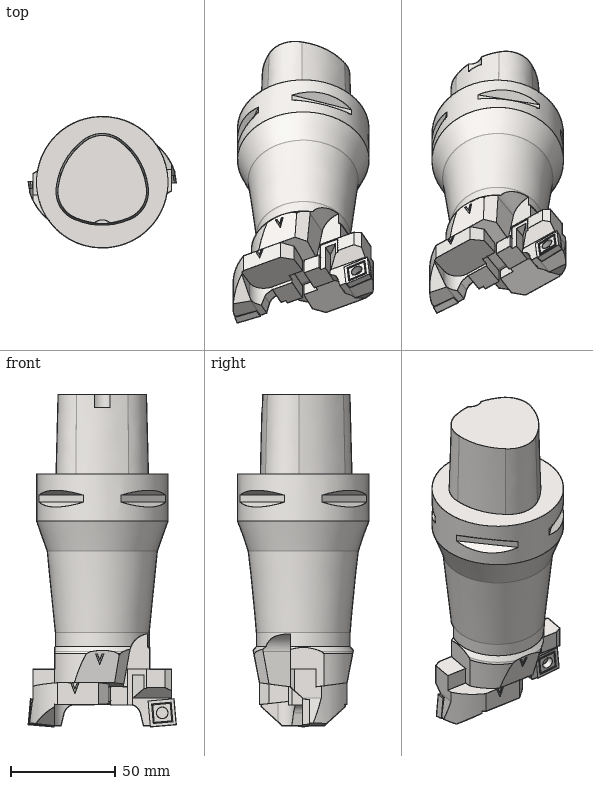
import cadquery as cq
import math


BIG = 100.0

SHANK_LENGTH = 38.0
SHANK_TAPER = math.degrees(math.atan(1 / 40))
LOBE_RADIUS = 23.35
FLAT_RADIUS = 20.6
JOINT_RADIUS = 22.05
JOINT_ANGLE = 25.0
KEYWAY_RADIUS = 5.4
KEYWAY_DEEPEST = 18.0
KEYWAY_LENGTH = 6.3

FLANGE_RADIUS = 63.0 / 2
FLANGE_BOTTOM = -22.6
CONE_BOTTOM = -37.0
CONE_RADIUS = 26.4
NECK_BOTTOM = -76.0
NECK_RADIUS = 45.0 / 2
SPIGOT_BOTTOM = -82.7
SHOULDER_Z = -85.1
SHOULDER_RADIUS = 24.5
HEAD_TOP = -86.1
HEAD_RADIUS = 24.9

GROOVE_Z = -11.9
GROOVE_FLOOR = 27.7
GROOVE_FLOOR_HALF = 1.65
GROOVE_MOUTH_HALF = 4.0

SIDE_FLAT = 22.85
BEVEL_TOP = 23.9
BEVEL_BOTTOM = 21.0
ROOF_OUTER_Z = -100.0
ROOF_INNER_Z = -102.0
ROOF_INNER_Y = 6.0
HEAD_CUT_LOW = ROOF_INNER_Z - 1.0
BEVEL_SLOPE = (BEVEL_TOP - BEVEL_BOTTOM) / (SHOULDER_Z - ROOF_OUTER_Z)

GULLET_WALL = -6.0
GULLET_FLOOR_TOP = 13.1
GULLET_FLOOR_BOTTOM = 10.4
GULLET_SLOPE = (GULLET_FLOOR_TOP - GULLET_FLOOR_BOTTOM) / (SHOULDER_Z - ROOF_OUTER_Z)
GULLET_ROLL_MIDDLE = (17.0, -78.5)
GULLET_ROLL_END = (22.6, -76.5)
FACET_Y = -19.2
FACET_REACH = 8.0

TONGUE_TOP = -93.5
TONGUE_START = 12.0
TONGUE_HALF = 6.0
SLIDE_OUTER = 33.2
CORNER_X = 30.0
CORNER_Y = -4.2
SLIDE_BACK = 21.0
SLIDE_BOTTOM = -110.7
ARM_END = -3.2
ARM_INNER = 7.1
ARM_CORNER_X = 1.8
ARM_CORNER_Y = 16.3
SLIDE_INNER = 4.0
RIM_CENTRE = (7.5, -4.1)
RIM_RADIUS = 28.7

LEG_BOTTOM = -120.6
LEG_OUTER_BOTTOM = -119.2
LEG_INNER = 19.7
LEG_ROLL_START = (18.2, -114.5)
LEG_ROLL_MIDDLE = (17.0, -112.3)
POCKET_START = 14.5
POCKET_TOP = -107.2
SLOPE_TOP = -102.3
LEG_RIB_BACK = 3.9
LEG_THIN_X = 22.9
LEG_THIN_Y = 12.0
LEG_CHAMFER_Y = 10.1
ARM_BOTTOM_BACK = -110.5
ARM_BOTTOM_RIB = -108.6

RECESS_TOP = -96.2
RECESS_END = 20.6
RECESS_DEPTH = 6.0
STRIP_END = 21.2
STRIP_DEPTH = 0.6

INSERT_SIDE = 12.5
INSERT_TILT = 5.0
INSERT_THICKNESS = 3.5
INSERT_CLEARANCE = 7.0
RAKE_Y = -0.4
INSERT_REACH = 70.95 / 2
INSERT_LOWEST = -121.21
INSERT_HOLE = 5.5
BREAKER_OUTER = 9.4
BREAKER_INNER = 8.4
BREAKER_DEPTH = 0.3
SEAT_MARGIN = 0.7
TILT = math.radians(INSERT_TILT)
CORNER_OFFSET = INSERT_SIDE / 2 * (math.cos(TILT) + math.sin(TILT))
INSERT_X = INSERT_REACH - CORNER_OFFSET
INSERT_Z = INSERT_LOWEST + CORNER_OFFSET

MARK_WIDTH = 3.9
MARK_HEIGHT = 5.2
MARK_STROKE = 0.8
MARK_DEPTH = 0.3
ARBOR_MARK_X = -1.2
ARBOR_MARK_Z = -86.2
SLIDE_MARK_X = 13.1


def half_turn(shape):
    return shape.rotate((0, 0, 0), (0, 0, 1), 180)


def box(x0, x1, y0, y1, z0, z1):
    return cq.Workplane("XY").box(x1 - x0, y1 - y0, z1 - z0, centered=False).translate((x0, y0, z0))


def polar(radius, angle):
    return (radius * math.cos(math.radians(angle)), radius * math.sin(math.radians(angle)))


def roof_space():
    """Everything above the seat between the arbor and the slides."""
    return (
        cq.Workplane("YZ")
        .moveTo(-SLIDE_BACK, ROOF_OUTER_Z)
        .lineTo(-ROOF_INNER_Y, ROOF_INNER_Z)
        .lineTo(ROOF_INNER_Y, ROOF_INNER_Z)
        .lineTo(SLIDE_BACK, ROOF_OUTER_Z)
        .lineTo(BIG, ROOF_OUTER_Z)
        .lineTo(BIG, BIG)
        .lineTo(-BIG, BIG)
        .lineTo(-BIG, ROOF_OUTER_Z)
        .close()
        .extrude(BIG, both=True)
    )


def setting_mark():
    """Narrow V pointing down, its top at the origin."""
    half = MARK_WIDTH / 2
    inner_half = half - MARK_STROKE
    inner_height = MARK_HEIGHT * inner_half / half
    points = [
        (-half, 0),
        (-inner_half, 0),
        (0, -inner_height),
        (inner_half, 0),
        (half, 0),
        (0, -MARK_HEIGHT),
    ]
    return cq.Workplane("XZ").polyline(points).close().extrude(MARK_DEPTH, both=True)



def make_shank():
    outline = cq.Workplane("XY").moveTo(*polar(JOINT_RADIUS, 90 - JOINT_ANGLE))
    for lobe in (90, 210, 330):
        outline = outline.threePointArc(polar(LOBE_RADIUS, lobe), polar(JOINT_RADIUS, lobe + JOINT_ANGLE))
        next_joint = polar(JOINT_RADIUS, lobe + 120 - JOINT_ANGLE)
        outline = outline.threePointArc(polar(FLAT_RADIUS, lobe + 60), next_joint)
    shank = outline.close().extrude(SHANK_LENGTH, taper=SHANK_TAPER)
    keyway = (
        cq.Workplane("XY")
        .center(0, -KEYWAY_DEEPEST - KEYWAY_RADIUS)
        .circle(KEYWAY_RADIUS)
        .extrude(KEYWAY_LENGTH)
        .translate((0, 0, SHANK_LENGTH - KEYWAY_LENGTH))
    )
    return shank.cut(keyway)


def make_turned_body():
    points = [
        (0, 0),
        (FLANGE_RADIUS, 0),
        (FLANGE_RADIUS, FLANGE_BOTTOM),
        (CONE_RADIUS, CONE_BOTTOM),
        (NECK_RADIUS, NECK_BOTTOM),
        (NECK_RADIUS, SPIGOT_BOTTOM),
        (SHOULDER_RADIUS, SHOULDER_Z),
        (HEAD_RADIUS, HEAD_TOP),
        (HEAD_RADIUS, ROOF_INNER_Z),
        (0, ROOF_INNER_Z),
    ]
    return cq.Workplane("XZ").polyline(points).close().revolve(360, (0, 0, 0), (0, 1, 0))


def gripper_groove(angle):
    slope = (GROOVE_MOUTH_HALF - GROOVE_FLOOR_HALF) / (FLANGE_RADIUS - GROOVE_FLOOR)
    outside = 2 * FLANGE_RADIUS - GROOVE_FLOOR
    outside_half = GROOVE_FLOOR_HALF + slope * (outside - GROOVE_FLOOR)
    points = [
        (GROOVE_FLOOR, GROOVE_Z - GROOVE_FLOOR_HALF),
        (outside, GROOVE_Z - outside_half),
        (outside, GROOVE_Z + outside_half),
        (GROOVE_FLOOR, GROOVE_Z + GROOVE_FLOOR_HALF),
    ]
    groove = cq.Workplane("XZ").polyline(points).close().extrude(FLANGE_RADIUS, both=True)
    return groove.rotate((0, 0, 0), (0, 0, 1), angle)


def sloping_flat():
    """Material outside the sloping flat on the -Y side of the head, with its setting mark."""
    low_y = BEVEL_TOP - BEVEL_SLOPE * (SHOULDER_Z - HEAD_CUT_LOW)
    high_y = BEVEL_TOP + BEVEL_SLOPE * (SPIGOT_BOTTOM - SHOULDER_Z)
    points = [(-low_y, HEAD_CUT_LOW), (-high_y, SPIGOT_BOTTOM), (-BIG, SPIGOT_BOTTOM), (-BIG, HEAD_CUT_LOW)]
    outside = cq.Workplane("YZ").polyline(points).close().extrude(BIG, both=True)
    mark_y = BEVEL_TOP - BEVEL_SLOPE * (SHOULDER_Z - ARBOR_MARK_Z)
    mark = setting_mark().rotate((0, 0, 0), (1, 0, 0), math.degrees(math.atan(BEVEL_SLOPE)))
    return outside.union(mark.translate((ARBOR_MARK_X, -mark_y, ARBOR_MARK_Z)))


def chip_gullet():
    """Gullet ahead of the +X slide: sloping floor with a rolled run-out at the top."""
    low_x = GULLET_FLOOR_TOP - GULLET_SLOPE * (SHOULDER_Z - HEAD_CUT_LOW)
    return (
        cq.Workplane("XZ", origin=(0, GULLET_WALL, 0))
        .moveTo(low_x, HEAD_CUT_LOW)
        .lineTo(GULLET_FLOOR_TOP, SHOULDER_Z)
        .threePointArc(GULLET_ROLL_MIDDLE, GULLET_ROLL_END)
        .lineTo(BIG, GULLET_ROLL_END[1])
        .lineTo(BIG, HEAD_CUT_LOW)
        .close()
        .extrude(BIG)
    )


def gullet_facet():
    """Oblique prism that bevels the edge between the gullet floor and the sloping flat."""
    def section(z):
        shift = GULLET_SLOPE * (SHOULDER_Z - z)
        x = GULLET_FLOOR_TOP - shift
        y = FACET_Y + shift
        corners = [
            (x - FACET_REACH, y - FACET_REACH, z),
            (x + FACET_REACH, y + FACET_REACH, z),
            (x + FACET_REACH, y - FACET_REACH, z),
        ]
        return cq.Wire.makePolygon([cq.Vector(*corner) for corner in corners], close=True)

    return cq.Workplane(obj=cq.Solid.makeLoft([section(HEAD_CUT_LOW), section(SPIGOT_BOTTOM)], True))


def tongue_slot():
    return box(TONGUE_START, BIG, -TONGUE_HALF, TONGUE_HALF, HEAD_CUT_LOW, TONGUE_TOP)


def make_arbor():
    arbor = make_turned_body()
    for angle in (45, 135, 225, 315):
        arbor = arbor.cut(gripper_groove(angle))
    side = box(SIDE_FLAT, BIG, -BIG, BIG, HEAD_CUT_LOW, SPIGOT_BOTTOM)
    for tool in (side, sloping_flat(), chip_gullet(), gullet_facet(), tongue_slot()):
        arbor = arbor.cut(tool).cut(half_turn(tool))
    return arbor.intersect(roof_space()).union(make_shank())



def insert_blank():
    rake_plane = cq.Workplane("XZ", origin=(0, RAKE_Y, 0))
    return rake_plane.rect(INSERT_SIDE, INSERT_SIDE).extrude(-INSERT_THICKNESS, taper=INSERT_CLEARANCE)


def place_insert(shape):
    return shape.rotate((0, 0, 0), (0, 1, 0), -INSERT_TILT).translate((INSERT_X, 0, INSERT_Z))


def make_insert():
    rake_plane = cq.Workplane("XZ", origin=(0, RAKE_Y, 0))
    breaker_outline = rake_plane.rect(BREAKER_OUTER, BREAKER_OUTER).rect(BREAKER_INNER, BREAKER_INNER)
    breaker = breaker_outline.extrude(-BREAKER_DEPTH)
    hole = rake_plane.circle(INSERT_HOLE / 2).extrude(-INSERT_THICKNESS)
    return place_insert(insert_blank().cut(breaker).cut(hole))



def slide_plan():
    """Plan of the slide: arm along the back, curved rim and bevelled front corner."""
    rim_x, rim_y = RIM_CENTRE
    rim_start = (rim_x + math.sqrt(RIM_RADIUS**2 - (CORNER_Y - rim_y) ** 2), CORNER_Y)
    rim_middle = (rim_x + RIM_RADIUS / math.sqrt(2), rim_y + RIM_RADIUS / math.sqrt(2))
    rim_end = (rim_x + math.sqrt(RIM_RADIUS**2 - (SLIDE_BACK - rim_y) ** 2), SLIDE_BACK)
    return (
        cq.Workplane("XY", origin=(0, 0, INSERT_LOWEST))
        .moveTo(SLIDE_INNER, -ARM_INNER)
        .lineTo(TONGUE_START, -ARM_INNER)
        .lineTo(TONGUE_START, -TONGUE_HALF)
        .lineTo(CORNER_X, -TONGUE_HALF)
        .lineTo(SLIDE_OUTER, CORNER_Y)
        .lineTo(*rim_start)
        .threePointArc(rim_middle, rim_end)
        .lineTo(ARM_CORNER_X, SLIDE_BACK)
        .lineTo(ARM_END, ARM_CORNER_Y)
        .lineTo(ARM_END, ARM_INNER)
        .lineTo(SLIDE_INNER, ARM_INNER)
        .close()
        .extrude(TONGUE_TOP - INSERT_LOWEST)
    )


def slide_elevation():
    """Elevation of the slide: upright tongue end, leg parallel to the insert, rolled inside."""
    leg_outer = INSERT_REACH - SEAT_MARGIN
    return (
        cq.Workplane("XZ")
        .moveTo(ARM_END, TONGUE_TOP)
        .lineTo(SLIDE_OUTER, TONGUE_TOP)
        .lineTo(SLIDE_OUTER, POCKET_TOP)
        .lineTo(leg_outer, LEG_OUTER_BOTTOM)
        .lineTo(LEG_THIN_X, LEG_BOTTOM)
        .lineTo(LEG_INNER, LEG_BOTTOM)
        .lineTo(*LEG_ROLL_START)
        .threePointArc(LEG_ROLL_MIDDLE, (POCKET_START, SLIDE_BOTTOM))
        .lineTo(ARM_END, SLIDE_BOTTOM)
        .close()
        .extrude(BIG, both=True)
    )


def insert_pocket():
    """Space ahead of the rake face, under a sloping overhang."""
    points = [
        (-TONGUE_HALF, SLOPE_TOP),
        (RAKE_Y, POCKET_TOP),
        (RAKE_Y, INSERT_LOWEST),
        (-BIG, INSERT_LOWEST),
        (-BIG, SLOPE_TOP),
    ]
    return cq.Workplane("YZ", origin=(POCKET_START, 0, 0)).polyline(points).close().extrude(BIG)


def leg_back_relief():
    """Thins the leg behind its rib and slopes the underside of the arm."""
    radius = LEG_THIN_Y - LEG_RIB_BACK
    roll_x = LEG_THIN_X - radius
    middle = (roll_x + radius / math.sqrt(2), LEG_THIN_Y - radius / math.sqrt(2))
    plan = (
        cq.Workplane("XY", origin=(0, 0, INSERT_LOWEST))
        .moveTo(-BIG, LEG_RIB_BACK)
        .lineTo(roll_x, LEG_RIB_BACK)
        .threePointArc(middle, (LEG_THIN_X, LEG_THIN_Y))
        .lineTo(LEG_THIN_X, BIG)
        .lineTo(-BIG, BIG)
        .close()
        .extrude(ROOF_INNER_Z - INSERT_LOWEST)
    )
    points = [
        (LEG_RIB_BACK, ARM_BOTTOM_RIB),
        (SLIDE_BACK, ARM_BOTTOM_BACK),
        (SLIDE_BACK, INSERT_LOWEST),
        (LEG_RIB_BACK, INSERT_LOWEST),
    ]
    below_arm = cq.Workplane("YZ").polyline(points).close().extrude(BIG, both=True)
    return plan.intersect(below_arm)


def leg_chamfer():
    slope = (SLIDE_BOTTOM - LEG_BOTTOM) / (SLIDE_BACK - LEG_CHAMFER_Y)
    low_z = LEG_BOTTOM - slope * LEG_CHAMFER_Y
    points = [(SLIDE_BACK, SLIDE_BOTTOM), (0, low_z), (SLIDE_BACK, low_z)]
    return cq.Workplane("YZ").polyline(points).close().extrude(BIG)


def tongue_recess():
    """Shallow strip on the tongue front and the wedge-shaped recess inside it."""
    strip = box(TONGUE_START, STRIP_END, -TONGUE_HALF, STRIP_DEPTH - TONGUE_HALF, INSERT_LOWEST, TONGUE_TOP)
    points = [
        (POCKET_START, -TONGUE_HALF),
        (RECESS_END, -TONGUE_HALF),
        (POCKET_START, RECESS_DEPTH - TONGUE_HALF),
    ]
    pocket_plane = cq.Workplane("XY", origin=(0, 0, POCKET_TOP))
    wedge = pocket_plane.polyline(points).close().extrude(RECESS_TOP - POCKET_TOP)
    return strip.union(wedge)


def make_slide():
    plan = slide_plan()
    tongue = plan.intersect(tongue_slot())
    slide = plan.cut(roof_space()).union(tongue).intersect(slide_elevation())
    mark = setting_mark().translate((SLIDE_MARK_X, SLIDE_BACK, ROOF_OUTER_Z))
    for tool in (insert_pocket(), leg_back_relief(), leg_chamfer(), tongue_recess(), mark):
        slide = slide.cut(tool)
    return slide.cut(place_insert(insert_blank()))


arbor = make_arbor()
slide = make_slide()
insert = make_insert()

bodies = arbor.solids().vals()
for angle in (0, 180):
    for body in (slide, insert):
        bodies += body.rotate((0, 0, 0), (0, 0, 1), angle).solids().vals()

result = cq.Compound.makeCompound(bodies)